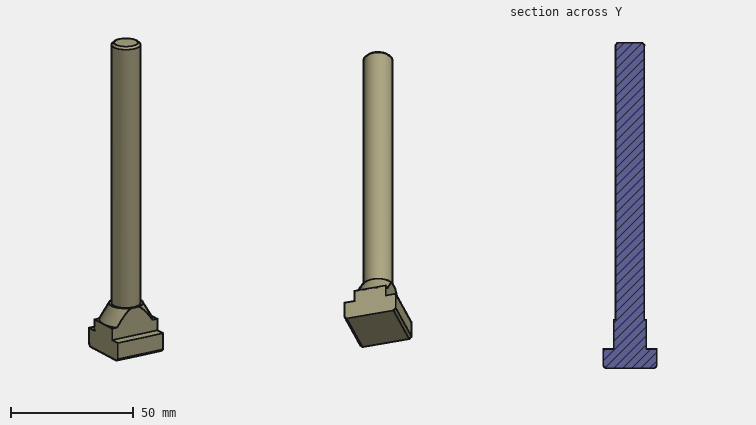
import cadquery as cq

total_length = 133.0
head_width = 22.0
head_height = 8.0
head_chamfer = 1.0
neck_width = 13.4
neck_top = 12.9
cone_top = 20.0
cone_top_diameter = 14.0
shank_diameter = 12.0
shank_chamfer = 1.0


def make_head():
    """Square head with its two lower edges along Y chamfered."""
    head = cq.Workplane("XY").box(head_width, head_width, head_height, centered=(True, True, False))
    return head.faces("<Z").edges("|Y").chamfer(head_chamfer)


def make_neck_block(bottom, top):
    """Block of slot width, as long as the head along Y."""
    block = cq.Workplane("XY").workplane(offset=bottom)
    return block.rect(neck_width, head_width).extrude(top - bottom)


def make_cone():
    """Taper from the head width up to the shank, trimmed to the slot width."""
    cone = (
        cq.Workplane("XY")
        .workplane(offset=neck_top)
        .circle(head_width / 2)
        .workplane(offset=cone_top - neck_top)
        .circle(cone_top_diameter / 2)
        .loft(ruled=True)
    )
    return cone.intersect(make_neck_block(neck_top, cone_top))


def make_shank():
    """Round shank with a chamfered free end."""
    shank = cq.Workplane("XY").workplane(offset=cone_top).circle(shank_diameter / 2)
    return shank.extrude(total_length - cone_top).faces(">Z").edges().chamfer(shank_chamfer)


neck = make_neck_block(head_height, neck_top)
result = make_head().union(neck).union(make_cone()).union(make_shank())